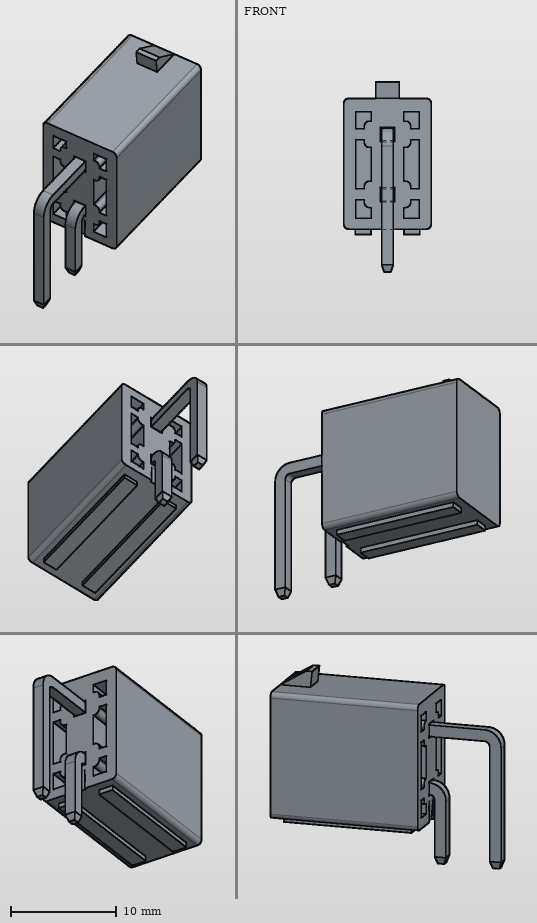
import cadquery as cq


BODY_WIDTH = 8.35
BODY_LENGTH = 14.77
BODY_HEIGHT = 12.47
BODY_RADIUS = 0.5

LATCH_WIDTH = 2.27
LATCH_HEIGHT = 1.57
LATCH_LENGTH = 3.2
LATCH_FLAT = 0.6
LATCH_UNDERCUT = 0.17

FOOT_WIDTH = 1.53
FOOT_HEIGHT = 0.5
FOOT_INNER_X = 1.55
FOOT_END_GAP = 1.0

PIN_SIZE = 1.14
PIN_MOUTH_SIZE = 1.38
PIN_MOUTH_DEPTH = 0.12
PIN_EMBEDDED_LENGTH = 4.0
PIN_BEND_RADIUS = 1.64
PIN_TIP_HEIGHT = 0.72
PIN_TIP_SIZE = 0.64
PIN_DROP = 4.09
ROW_PITCH = 5.72
LOWER_PIN_Z = 3.31
UPPER_PIN_Z = LOWER_PIN_Z + ROW_PITCH
LOWER_PIN_REACH = 1.65
REACH_PITCH = 5.52
UPPER_PIN_REACH = LOWER_PIN_REACH + REACH_PITCH
PINS = ((LOWER_PIN_Z, LOWER_PIN_REACH), (UPPER_PIN_Z, UPPER_PIN_REACH))

POCKET_INNER_X = 1.55
POCKET_OUTER_X = 3.02
POCKET_BOTTOM_Z = 1.07
POCKET_TOP_Z = 11.17
POCKET_DEPTH = 8.0

CORE_WIDTH = 4.42
CORE_HEIGHT = 2.52
CORE_RADIUS = 0.5
WEB_HEIGHT = 1.08
LOWER_CORE_Z = 3.33
CORE_CENTRES_Z = (LOWER_CORE_Z, LOWER_CORE_Z + ROW_PITCH)

RELIEF_WIDTH = PIN_SIZE
RELIEF_HEIGHT = 2.05
RELIEF_DEPTH = 0.2


def box(x_range, y_range, z_range):
    """Box between the given limits."""
    corner = (x_range[0], y_range[0], z_range[0])
    size = (x_range[1] - x_range[0], y_range[1] - y_range[0], z_range[1] - z_range[0])
    return cq.Workplane("XY").box(*size, centered=False).translate(corner)


def bar_along_y(width, height, centre_z, depth):
    """Rectangular bar centred on X = 0, running from the pin face into the housing."""
    return box(
        (-width / 2, width / 2),
        (0, depth),
        (centre_z - height / 2, centre_z + height / 2),
    )


def extrude_across_x(points, width):
    """Extrude a closed Y-Z outline symmetrically about X = 0."""
    return cq.Workplane("YZ").polyline(points).close().extrude(width / 2, both=True)


def make_body():
    block = box((-BODY_WIDTH / 2, BODY_WIDTH / 2), (0, BODY_LENGTH), (0, BODY_HEIGHT))
    return block.edges("|Y").fillet(BODY_RADIUS)


def make_latch():
    tip_y = BODY_LENGTH - LATCH_LENGTH
    top_z = BODY_HEIGHT + LATCH_HEIGHT
    outline = [
        (BODY_LENGTH, BODY_HEIGHT),
        (tip_y + LATCH_FLAT, top_z),
        (tip_y, top_z),
        (tip_y + LATCH_UNDERCUT, BODY_HEIGHT),
    ]
    return extrude_across_x(outline, LATCH_WIDTH)


def make_foot(side):
    inner_x = side * FOOT_INNER_X
    outer_x = side * (FOOT_INNER_X + FOOT_WIDTH)
    return box(
        sorted((inner_x, outer_x)),
        (FOOT_END_GAP, BODY_LENGTH - FOOT_END_GAP),
        (-FOOT_HEIGHT, 0),
    )


def make_pockets():
    pockets = None
    for side in (-1, 1):
        x_range = sorted((side * POCKET_INNER_X, side * POCKET_OUTER_X))
        column = box(x_range, (0, POCKET_DEPTH), (POCKET_BOTTOM_Z, POCKET_TOP_Z))
        pockets = column if pockets is None else pockets.union(column)
    for centre_z in CORE_CENTRES_Z:
        core = bar_along_y(CORE_WIDTH, CORE_HEIGHT, centre_z, POCKET_DEPTH)
        pockets = pockets.cut(core.edges("|Y").fillet(CORE_RADIUS))
        pockets = pockets.cut(bar_along_y(BODY_WIDTH, WEB_HEIGHT, centre_z, POCKET_DEPTH))
    return pockets


def make_relief():
    outline = [(0, 0), (0, RELIEF_HEIGHT), (RELIEF_DEPTH, 0)]
    return extrude_across_x(outline, RELIEF_WIDTH)


def make_pin_mouth(centre_z):
    """Tapered recess in the pin face that closes onto the pin."""
    return (
        cq.Workplane("XZ", origin=(0, 0, centre_z))
        .rect(PIN_MOUTH_SIZE, PIN_MOUTH_SIZE)
        .workplane(offset=-PIN_MOUTH_DEPTH)
        .rect(PIN_SIZE, PIN_SIZE)
        .loft(ruled=True)
    )


def make_pin(centre_z, reach):
    """Square pin leaving the housing along -Y, bent down to a tapered tip."""
    shoulder_z = PIN_TIP_HEIGHT - PIN_DROP
    top_z = centre_z + PIN_SIZE / 2
    bottom_z = centre_z - PIN_SIZE / 2
    outer_y = -reach
    inner_y = PIN_SIZE - reach
    bend_y = PIN_BEND_RADIUS - reach
    bend_z = top_z - PIN_BEND_RADIUS
    inner_radius = PIN_BEND_RADIUS - PIN_SIZE
    bar = (
        cq.Workplane("YZ")
        .moveTo(PIN_EMBEDDED_LENGTH, top_z)
        .lineTo(bend_y, top_z)
        .radiusArc((outer_y, bend_z), -PIN_BEND_RADIUS)
        .lineTo(outer_y, shoulder_z)
        .lineTo(inner_y, shoulder_z)
        .lineTo(inner_y, bend_z)
        .radiusArc((bend_y, bottom_z), inner_radius)
        .lineTo(PIN_EMBEDDED_LENGTH, bottom_z)
        .close()
        .extrude(PIN_SIZE / 2, both=True)
    )
    tip = (
        cq.Workplane("XY", origin=(0, outer_y + PIN_SIZE / 2, shoulder_z))
        .rect(PIN_SIZE, PIN_SIZE)
        .workplane(offset=-PIN_TIP_HEIGHT)
        .rect(PIN_TIP_SIZE, PIN_TIP_SIZE)
        .loft(ruled=True)
    )
    return bar.union(tip)


housing = make_body().union(make_latch())
for foot_side in (-1, 1):
    housing = housing.union(make_foot(foot_side))
housing = housing.cut(make_pockets()).cut(make_relief())

result = housing
for pin_z, pin_reach in PINS:
    result = result.cut(make_pin_mouth(pin_z))
    result = result.union(make_pin(pin_z, pin_reach))